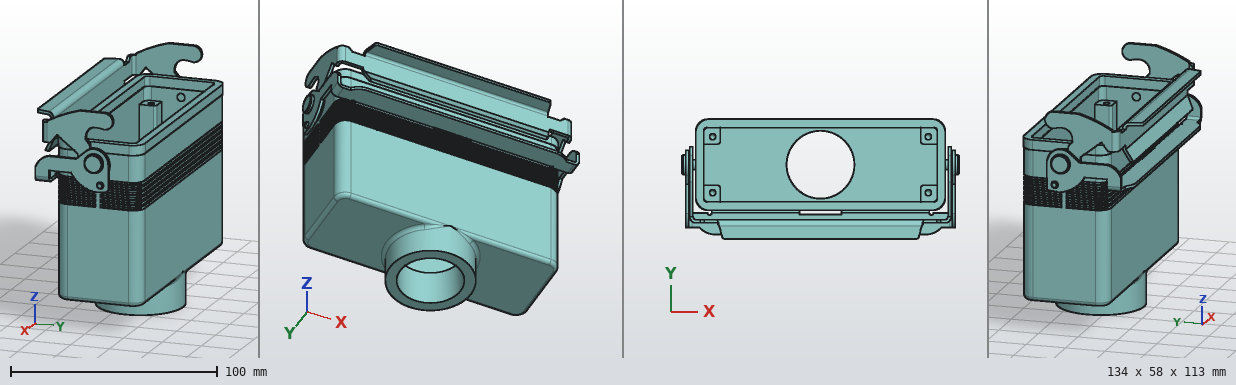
import cadquery as cq
import math

BODY_LENGTH = 120.3
BODY_DEPTH = 43.8
BODY_CORNER = 6.2
BODY_BOTTOM_Z = 15.8
BODY_BOTTOM_FILLET = 2.1
RIM_BOTTOM_Z = 92.0
HOUSING_TOP_Z = 97.2
RIM_OVERHANG = 0.2
NECK_BORE_RADIUS = 16.3
NECK_FILLET = 2.0
ROOT_MARGIN = 0.3

MOUTH_LENGTH = 112.8
MOUTH_DEPTH = 35.9
MOUTH_CORNER = 2.0
CAVITY_UNDERCUT = 0.47
CAVITY_CORNER = 3.1
FLOOR_THICKNESS = 3.6

POST_SIZE = 8.5
POST_TOP_Z = 84.8
POST_CORNER = 1.3
POST_HOLE_X = 52.1
POST_HOLE_Y = 13.5
POST_HOLE_DIAMETER = 3.0
POST_HOLE_DEPTH = 16.1

GROOVE_COUNT = 6
GROOVE_WIDTH = 1.5
GROOVE_SPREAD = 12.5
GROOVE_TOP_Z = 78.3
GROOVE_DEPTH = 0.47
LONG_GROOVE_DEPTH = 1.1
GROOVE_GAP = 2.5

SHEET = 1.6
PIN_Z = 87.9
PIN_DIAMETER = 5.0
PIN_END_DIAMETER = 4.0
HEAD_DIAMETER = 9.5
HEAD_CHAMFER = 0.5
OVERALL_LENGTH = 134.0

BAIL_OUTER_X = 63.2
BAIL_FRONT_Y = -28.1
BAIL_BEND = 3.1
BAR_BOTTOM_Z = 95.4
BAR_END_TOP_Z = 105.5
BAR_TOP_Z = 103.3
BAR_DIP_TOP_HALF = 58.2
BAR_DIP_BOTTOM_HALF = 56.1
HOOK_TOP_Z = 113.0
HOOK_TIP_RADIUS = 4.2
HOOK_TIP_Y = 4.5
HOOK_TOP_END_Y = -8.2
HOOK_CREST_MIDDLE = (-17.0, 110.0)
HOOK_CREST_END_Z = 106.1
HOOK_SEAT_RADIUS = 5.2
HOOK_SEAT_Z = 100.1
HOOK_SEAT_LOW_Z = 98.9
HOOK_SEAT_LIP = (2.1, 105.2)
HOOK_NECK_BACK_TOP = (-3.2, 96.5)
HOOK_NECK_BACK_LOW = (-3.0, 94.3)
HOOK_NECK_FRONT_Z = 91.3
NOTCH_PEAK = (-20.0, 99.7)
NOTCH_FRONT_Y = -23.3
LOBE_SHOULDER = (3.4, 93.1)
LOBE_RADIUS = 8.0
LOBE_Y = -1.2
LOBE_Z = 86.3

FLAP_TOP_Z = 106.7
FLAP_BEND = 3.0
FLAP_FRONT_Y = -35.9
FLAP_ROOT_HALF = 49.8
FLAP_END_HALF = 47.3
FLAP_CORNER = 1.3

TONGUE_BEND_Z = 92.9
TONGUE_BOTTOM_Z = 86.0
TONGUE_TILT = 27.0
TONGUE_ROOT_HALF = 50.5
TONGUE_END_HALF = 47.8
TONGUE_CORNER = 1.3

CLIP_OUTER_X = 65.3
CLIP_BEND = 3.0
CLIP_BOTTOM_Z = 75.7
CLIP_EYE_RADIUS = 7.1
CLIP_HEEL_TOP_Z = 74.5
CLIP_HEEL = (6.0, 73.8)
CLIP_LOWEST = (0.7, 73.4)
CLIP_BELLY_MIDDLE = (-8.2, 77.2)
CLIP_BELLY_END_Y = -11.9
ARM_TOP_Z = 89.1
ARM_BOTTOM_Z = 82.0
ARM_ROOT_Y = -9.5
ARM_CURVE_START_Y = -23.5
ARM_CURVE_MIDDLE = (-28.3, 86.5)
ARM_CURVE_END_Z = 83.1
ARM_INNER_Y = -23.3
ARM_OUTER_Y = -30.4
LEDGE_FRONT_Y = -33.8
LEDGE_HALF = 58.4
LEDGE_CURVE = 6.7
LEDGE_CURVE_MIDDLE = (55.7, -32.5)
LEDGE_MIDDLE_Y = -24.0
LIP_INNER_X = 10.0
LIP_OUTER_X = 52.7
LIP_UPPER_EDGE = (-22.1, 75.6)
LIP_LOWER_EDGE = (-23.3, 74.9)
RELIEF_RADIUS = 1.0

DIMPLE_Y = 3.1
DIMPLE_Z = 77.0
DIMPLE_BASE_RADIUS = 1.7
DIMPLE_TOP_RADIUS = 1.2
DIMPLE_HEIGHT = 1.0

RIM_LENGTH = BODY_LENGTH + 2 * RIM_OVERHANG
RIM_DEPTH = BODY_DEPTH + 2 * RIM_OVERHANG
NECK_RADIUS = BODY_DEPTH / 2
CAVITY_LENGTH = MOUTH_LENGTH + 2 * CAVITY_UNDERCUT
CAVITY_DEPTH = MOUTH_DEPTH + 2 * CAVITY_UNDERCUT
GROOVE_PITCH = GROOVE_SPREAD / (GROOVE_COUNT - 1)
FLOOR_Z = BODY_BOTTOM_Z + FLOOR_THICKNESS
BAIL_BACK_Y = BAIL_FRONT_Y + SHEET
BAIL_BEND_END_Y = BAIL_FRONT_Y + BAIL_BEND
CLIP_TOP_Z = CLIP_BOTTOM_Z + SHEET
DIAGONAL = math.sqrt(0.5)


def rounded_block(length, depth, corner, bottom_z, top_z):
    """Upright block with rounded vertical edges, centred on the neck axis."""
    block = cq.Workplane("XY").workplane(offset=bottom_z).rect(length, depth).extrude(top_z - bottom_z)
    return block.edges("|Z").fillet(corner)


def box_between(x_range, y_range, z_range):
    """Box given by its limits along each axis."""
    sizes = [high - low for low, high in (x_range, y_range, z_range)]
    corner = (x_range[0], y_range[0], z_range[0])
    return cq.Workplane("XY").box(*sizes, centered=False).translate(corner)


def both_ends(shape):
    """The shape together with its mirror image at the other end of the part."""
    return shape.union(shape.mirror("YZ"))


def tapered_outline(root_half, root_level, end_half, end_level):
    """Corners of a trapezoid, symmetric about the middle, given by its half widths."""
    return [(-root_half, root_level), (-end_half, end_level), (end_half, end_level), (root_half, root_level)]


def bent_strip(plane, half_width, bend, breadth):
    """Sheet strip along X, starting at the plane origin, with both ends bent to a right angle."""
    flat_half = half_width - bend
    outer = bend * DIAGONAL
    inner = (bend - SHEET) * DIAGONAL
    return (
        plane.moveTo(-half_width, bend)
        .threePointArc((-flat_half - outer, bend - outer), (-flat_half, 0))
        .lineTo(flat_half, 0)
        .threePointArc((flat_half + outer, bend - outer), (half_width, bend))
        .lineTo(half_width - SHEET, bend)
        .threePointArc((flat_half + inner, bend - inner), (flat_half, SHEET))
        .lineTo(-flat_half, SHEET)
        .threePointArc((-flat_half - inner, bend - inner), (SHEET - half_width, bend))
        .close()
        .extrude(breadth)
    )


def end_cylinder(diameter, inner_x, outer_x, y, z):
    """Cylinder along X at the -X end, between two distances from the middle."""
    plane = cq.Workplane("YZ", origin=(-outer_x, y, z))
    return plane.circle(diameter / 2).extrude(outer_x - inner_x)


def groove_cutter():
    """Sloped-wall groove around the body at Z = 0, round on the long sides, interrupted at the ends."""
    radius = GROOVE_WIDTH / 2
    outside = rounded_block(RIM_LENGTH, RIM_DEPTH, BODY_CORNER, -radius, radius)
    core = rounded_block(
        BODY_LENGTH - 2 * GROOVE_DEPTH, BODY_DEPTH - 2 * GROOVE_DEPTH, BODY_CORNER, -radius, radius
    )
    gap = cq.Workplane("XY").box(OVERALL_LENGTH, GROOVE_GAP, GROOVE_PITCH)
    inner_edges = cq.selectors.BoxSelector(
        (-BODY_LENGTH / 2, -BODY_DEPTH / 2, -radius),
        (BODY_LENGTH / 2, BODY_DEPTH / 2, radius),
        boundingbox=True,
    )
    groove = outside.cut(core).edges(inner_edges).chamfer(GROOVE_DEPTH).cut(gap)
    axis_y = BODY_DEPTH / 2 - LONG_GROOVE_DEPTH + radius
    for side in (-1, 1):
        plane = cq.Workplane("YZ", origin=(-BODY_LENGTH / 2, side * axis_y, 0))
        groove = groove.union(plane.circle(radius).extrude(BODY_LENGTH))
    return groove


def outer_housing():
    body = rounded_block(BODY_LENGTH, BODY_DEPTH, BODY_CORNER, BODY_BOTTOM_Z, RIM_BOTTOM_Z)
    body = body.faces("<Z").edges().fillet(BODY_BOTTOM_FILLET)
    neck = cq.Workplane("XY").circle(NECK_RADIUS).extrude(FLOOR_Z)
    rim = rounded_block(RIM_LENGTH, RIM_DEPTH, BODY_CORNER, RIM_BOTTOM_Z, HOUSING_TOP_Z)
    reach = NECK_RADIUS + ROOT_MARGIN
    root_zone = cq.selectors.BoxSelector(
        (-reach, -reach, BODY_BOTTOM_Z - ROOT_MARGIN),
        (reach, reach, BODY_BOTTOM_Z + BODY_BOTTOM_FILLET + ROOT_MARGIN),
        boundingbox=True,
    )
    return body.union(neck).edges(root_zone).fillet(NECK_FILLET).union(rim)


def post_hole(x, y):
    """Blind screw hole with a conical bottom."""
    radius = POST_HOLE_DIAMETER / 2
    return (
        cq.Workplane("XZ", origin=(x, y, POST_TOP_Z))
        .polyline([(0, 0), (radius, 0), (radius, -POST_HOLE_DEPTH), (0, -POST_HOLE_DEPTH - radius)])
        .close()
        .revolve(360, (0, 0, 0), (0, 1, 0))
    )


def corner_posts():
    """Screw posts standing on the floor in the four corners of the cavity."""
    posts = cq.Workplane("XY")
    for side_x in (-1, 1):
        for side_y in (-1, 1):
            post = (
                cq.Workplane("XY", origin=(0, 0, FLOOR_Z))
                .center(side_x * (CAVITY_LENGTH - POST_SIZE) / 2, side_y * (CAVITY_DEPTH - POST_SIZE) / 2)
                .rect(POST_SIZE, POST_SIZE)
                .extrude(POST_TOP_Z - FLOOR_Z)
            )
            inner_edge = cq.selectors.NearestToPointSelector((0, 0, (POST_TOP_Z + FLOOR_Z) / 2))
            post = post.edges("|Z").edges(inner_edge).fillet(POST_CORNER)
            posts = posts.union(post.cut(post_hole(side_x * POST_HOLE_X, side_y * POST_HOLE_Y)))
    return posts


def make_housing():
    housing = outer_housing()
    groove = groove_cutter()
    for index in range(GROOVE_COUNT):
        middle_z = GROOVE_TOP_Z - GROOVE_WIDTH / 2 - index * GROOVE_PITCH
        housing = housing.cut(groove.translate((0, 0, middle_z)))
    cavity = rounded_block(CAVITY_LENGTH, CAVITY_DEPTH, CAVITY_CORNER, FLOOR_Z, RIM_BOTTOM_Z)
    mouth = rounded_block(MOUTH_LENGTH, MOUTH_DEPTH, MOUTH_CORNER, RIM_BOTTOM_Z, HOUSING_TOP_Z)
    bore = cq.Workplane("XY").circle(NECK_BORE_RADIUS).extrude(FLOOR_Z)
    pin_hole = end_cylinder(PIN_END_DIAMETER, CAVITY_LENGTH / 2, BODY_LENGTH / 2, 0, PIN_Z)
    posts = corner_posts().intersect(cavity)
    return housing.cut(cavity).cut(mouth).cut(bore).cut(both_ends(pin_hole)).union(posts)


def hook_plate():
    """Hook at the -X end, ending in a round lobe over the pivot pin."""
    tip_z = HOOK_TOP_Z - HOOK_TIP_RADIUS
    seat_side = HOOK_SEAT_RADIUS * DIAGONAL
    outline = (
        cq.Workplane("YZ", origin=(-BAIL_OUTER_X, 0, 0))
        .moveTo(BAIL_BEND_END_Y, BAR_BOTTOM_Z)
        .lineTo(NOTCH_FRONT_Y, BAR_BOTTOM_Z)
        .lineTo(*NOTCH_PEAK)
        .lineTo(LOBE_Y - LOBE_RADIUS, HOOK_NECK_FRONT_Z)
        .lineTo(LOBE_Y - LOBE_RADIUS, LOBE_Z)
        .threePointArc((LOBE_Y, LOBE_Z - LOBE_RADIUS), (LOBE_Y + LOBE_RADIUS, LOBE_Z))
        .threePointArc(LOBE_SHOULDER, HOOK_NECK_BACK_LOW)
        .lineTo(*HOOK_NECK_BACK_TOP)
        .lineTo(-HOOK_SEAT_RADIUS, HOOK_SEAT_LOW_Z)
        .lineTo(-HOOK_SEAT_RADIUS, HOOK_SEAT_Z)
        .threePointArc((-seat_side, HOOK_SEAT_Z + seat_side), (0, HOOK_SEAT_Z + HOOK_SEAT_RADIUS))
        .lineTo(*HOOK_SEAT_LIP)
        .lineTo(HOOK_TIP_Y, tip_z - HOOK_TIP_RADIUS)
        .threePointArc((HOOK_TIP_Y + HOOK_TIP_RADIUS, tip_z), (HOOK_TIP_Y, HOOK_TOP_Z))
        .lineTo(HOOK_TOP_END_Y, HOOK_TOP_Z)
        .threePointArc(HOOK_CREST_MIDDLE, (BAIL_BEND_END_Y, HOOK_CREST_END_Z))
        .close()
    )
    return outline.extrude(SHEET)


def bail_bar():
    """Front bar bent back into both hooks; its ends stand higher than its middle."""
    plane = cq.Workplane("XY", origin=(0, BAIL_FRONT_Y, BAR_BOTTOM_Z))
    bar = bent_strip(plane, BAIL_OUTER_X, BAIL_BEND, BAR_END_TOP_Z - BAR_BOTTOM_Z)
    dip = (
        cq.Workplane("XZ", origin=(0, BAIL_FRONT_Y, 0))
        .polyline(tapered_outline(BAR_DIP_TOP_HALF, BAR_END_TOP_Z, BAR_DIP_BOTTOM_HALF, BAR_TOP_Z))
        .close()
        .extrude(-BAIL_BEND)
    )
    return bar.cut(dip)


def finger_flap():
    """Flap bent forward from the top of the bar, narrowing to rounded front corners."""
    bend_y = BAIL_BACK_Y - FLAP_BEND
    bend_z = FLAP_TOP_Z - FLAP_BEND
    inner_bend = FLAP_BEND - SHEET
    sheet = (
        cq.Workplane("YZ", origin=(-FLAP_ROOT_HALF, 0, 0))
        .moveTo(BAIL_BACK_Y, BAR_BOTTOM_Z)
        .lineTo(BAIL_BACK_Y, bend_z)
        .threePointArc((bend_y + FLAP_BEND * DIAGONAL, bend_z + FLAP_BEND * DIAGONAL), (bend_y, FLAP_TOP_Z))
        .lineTo(FLAP_FRONT_Y, FLAP_TOP_Z)
        .lineTo(FLAP_FRONT_Y, FLAP_TOP_Z - SHEET)
        .lineTo(bend_y, FLAP_TOP_Z - SHEET)
        .threePointArc(
            (bend_y + inner_bend * DIAGONAL, bend_z + inner_bend * DIAGONAL), (BAIL_FRONT_Y, bend_z)
        )
        .lineTo(BAIL_FRONT_Y, BAR_BOTTOM_Z)
        .close()
        .extrude(2 * FLAP_ROOT_HALF)
    )
    plan = (
        cq.Workplane("XY")
        .polyline(tapered_outline(FLAP_ROOT_HALF, BAIL_BACK_Y, FLAP_END_HALF, FLAP_FRONT_Y))
        .close()
        .extrude(FLAP_TOP_Z)
        .edges("|Z and <Y")
        .fillet(FLAP_CORNER)
    )
    return sheet.intersect(plan)


def latch_tongue():
    """Tongue hanging from the bar and tilted outward below its bend."""
    tilt = math.radians(TONGUE_TILT)
    end_y = BAIL_BACK_Y - (TONGUE_BEND_Z - TONGUE_BOTTOM_Z) * math.tan(tilt)
    across = (-SHEET * math.cos(tilt), SHEET * math.sin(tilt))
    front_bend_z = TONGUE_BEND_Z + SHEET * math.tan(tilt / 2)
    sheet = (
        cq.Workplane("YZ", origin=(-TONGUE_ROOT_HALF, 0, 0))
        .polyline(
            [
                (BAIL_BACK_Y, BAR_TOP_Z),
                (BAIL_BACK_Y, TONGUE_BEND_Z),
                (end_y, TONGUE_BOTTOM_Z),
                (end_y + across[0], TONGUE_BOTTOM_Z + across[1]),
                (BAIL_FRONT_Y, front_bend_z),
                (BAIL_FRONT_Y, BAR_TOP_Z),
            ]
        )
        .close()
        .extrude(2 * TONGUE_ROOT_HALF)
    )
    elevation = (
        cq.Workplane("XZ")
        .polyline(tapered_outline(TONGUE_ROOT_HALF, BAR_BOTTOM_Z, TONGUE_END_HALF, TONGUE_BOTTOM_Z))
        .close()
        .extrude(-FLAP_FRONT_Y)
        .edges("|Y and <Z")
        .fillet(TONGUE_CORNER)
    )
    return sheet.intersect(elevation)


def clip_plate():
    """Clip plate at the -X end: an eye around the pin with an arm reaching forward."""
    outline = (
        cq.Workplane("YZ", origin=(-CLIP_OUTER_X, 0, 0))
        .moveTo(CLIP_EYE_RADIUS, PIN_Z)
        .lineTo(CLIP_EYE_RADIUS, CLIP_HEEL_TOP_Z)
        .lineTo(*CLIP_HEEL)
        .lineTo(*CLIP_LOWEST)
        .threePointArc(CLIP_BELLY_MIDDLE, (CLIP_BELLY_END_Y, ARM_BOTTOM_Z))
        .lineTo(ARM_INNER_Y, ARM_BOTTOM_Z)
        .lineTo(ARM_INNER_Y, CLIP_BOTTOM_Z + CLIP_BEND)
        .lineTo(ARM_OUTER_Y, CLIP_BOTTOM_Z + CLIP_BEND)
        .lineTo(ARM_OUTER_Y, ARM_CURVE_END_Z)
        .threePointArc(ARM_CURVE_MIDDLE, (ARM_CURVE_START_Y, ARM_TOP_Z))
        .lineTo(ARM_ROOT_Y, ARM_TOP_Z)
        .lineTo(-CLIP_EYE_RADIUS * DIAGONAL, PIN_Z + CLIP_EYE_RADIUS * DIAGONAL)
        .threePointArc((0, PIN_Z + CLIP_EYE_RADIUS), (CLIP_EYE_RADIUS, PIN_Z))
        .close()
    )
    return outline.extrude(SHEET)


def clip_ledge():
    """Flat ledge joining both arms, with rounded front corners and relief notches."""
    plane = cq.Workplane("XZ", origin=(0, ARM_INNER_Y, CLIP_BOTTOM_Z))
    ledge = bent_strip(plane, CLIP_OUTER_X, CLIP_BEND, ARM_INNER_Y - ARM_OUTER_Y)
    curve_x, curve_y = LEDGE_CURVE_MIDDLE
    front = (
        cq.Workplane("XY", origin=(0, 0, CLIP_BOTTOM_Z))
        .moveTo(-LEDGE_HALF, ARM_OUTER_Y)
        .threePointArc((-curve_x, curve_y), (-LEDGE_HALF + LEDGE_CURVE, LEDGE_FRONT_Y))
        .lineTo(LEDGE_HALF - LEDGE_CURVE, LEDGE_FRONT_Y)
        .threePointArc((curve_x, curve_y), (LEDGE_HALF, ARM_OUTER_Y))
        .close()
        .extrude(SHEET)
    )
    middle = box_between(
        (-LIP_INNER_X, LIP_INNER_X), (LEDGE_MIDDLE_Y, ARM_INNER_Y), (CLIP_BOTTOM_Z, CLIP_TOP_Z)
    )
    relief = (
        cq.Workplane("XY", origin=(-LIP_OUTER_X - RELIEF_RADIUS, ARM_INNER_Y, CLIP_BOTTOM_Z))
        .circle(RELIEF_RADIUS)
        .extrude(SHEET)
    )
    return ledge.union(front).cut(middle).cut(both_ends(relief))


def clip_lip():
    """Lip on the -X half, bent down from the ledge towards the housing."""
    profile = (
        cq.Workplane("YZ", origin=(-LIP_OUTER_X, 0, 0))
        .polyline(
            [
                (ARM_INNER_Y, CLIP_TOP_Z),
                LIP_UPPER_EDGE,
                LIP_LOWER_EDGE,
                (LEDGE_MIDDLE_Y, CLIP_BOTTOM_Z),
                (LEDGE_MIDDLE_Y, CLIP_TOP_Z),
            ]
        )
        .close()
    )
    return profile.extrude(LIP_OUTER_X - LIP_INNER_X)


def pivot_pin():
    """Headed pin at the -X end; its thinner end fills the hole in the housing wall."""
    shank = end_cylinder(PIN_DIAMETER, BODY_LENGTH / 2, CLIP_OUTER_X, 0, PIN_Z)
    end = end_cylinder(PIN_END_DIAMETER, CAVITY_LENGTH / 2, BODY_LENGTH / 2, 0, PIN_Z)
    head = end_cylinder(HEAD_DIAMETER, CLIP_OUTER_X, OVERALL_LENGTH / 2, 0, PIN_Z)
    return shank.union(end).union(head.faces("<X").chamfer(HEAD_CHAMFER))


def dimple():
    """Conical dimple standing out of the clip plate at the -X end."""
    return (
        cq.Workplane("YZ", origin=(-CLIP_OUTER_X, DIMPLE_Y, DIMPLE_Z))
        .circle(DIMPLE_BASE_RADIUS)
        .workplane(offset=-DIMPLE_HEIGHT)
        .circle(DIMPLE_TOP_RADIUS)
        .loft()
    )


def make_lever():
    lever = bail_bar().union(finger_flap()).union(latch_tongue()).union(clip_ledge())
    for end_part in (hook_plate(), clip_plate(), clip_lip(), pivot_pin(), dimple()):
        lever = lever.union(both_ends(end_part))
    return lever


housing = make_housing()
lever = make_lever()
result = cq.Compound.makeCompound([housing.val(), lever.val()])